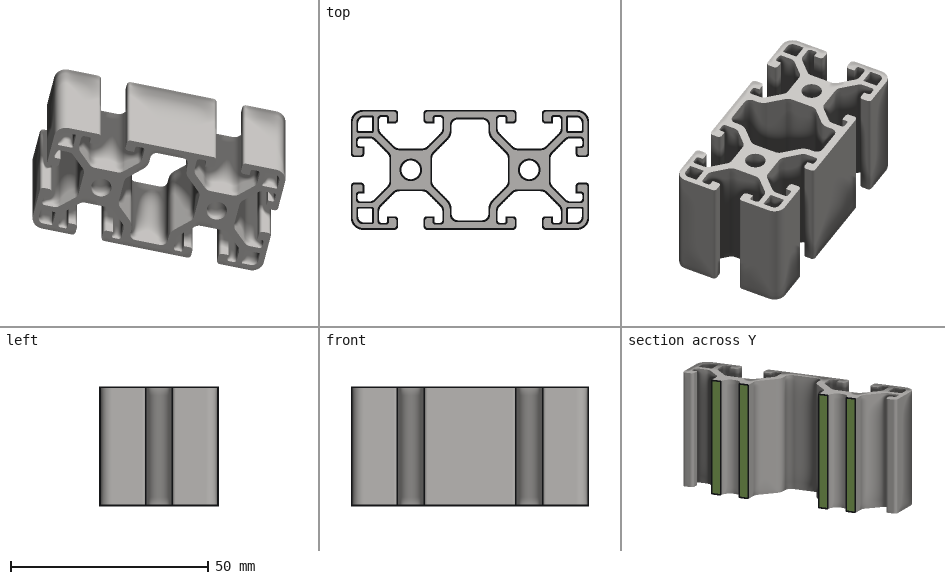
import cadquery as cq
import math

length = 60.0
depth = 30.0
height = 30.0
half_cell = depth / 2
cell_offset = length / 2 - half_cell
outer_radius = 3.0

core_half = 5.2
bore_diameter = 5.15

rib_offset = 1.45
rib_radius = 2.0

mouth_width = 6.8
mouth_half = mouth_width / 2
lip_width = 2.4
lip_height = 3.05
lip_radius = 0.85
slot_width = 16.4
slot_half = slot_width / 2
slot_wall = 1.4
hook_radius = 0.5
slot_corner_radius = 0.7
cut_overrun = 0.6

hollow_wall = 1.5
hollow_web = 1.45
hollow_corner_radius = 0.2
hollow_outer_radius = outer_radius - hollow_wall

middle_web = 2.0
middle_wall = 2.05
middle_radius = 1.6
middle_knee_radius = 3.5


def rounded_prism(corners):
    """Extrude a closed outline of (x, y, radius) corners; radius 0 stays sharp."""
    path = None
    for i, (x, y, radius) in enumerate(corners):
        before = corners[i - 1]
        after = corners[(i + 1) % len(corners)]
        corner = cq.Vector(x, y)
        to_before = (cq.Vector(before[0], before[1]) - corner).normalized()
        to_after = (cq.Vector(after[0], after[1]) - corner).normalized()
        half_angle = to_before.getAngle(to_after) / 2
        setback = radius / math.tan(half_angle)
        bisector = (to_before + to_after).normalized()
        start = corner + to_before * setback
        middle = corner + bisector * (radius / math.sin(half_angle) - radius)
        end = corner + to_after * setback
        path = path.lineTo(start.x, start.y) if path else cq.Workplane("XY").moveTo(start.x, start.y)
        if radius > 0:
            path = path.threePointArc((middle.x, middle.y), (end.x, end.y))
    return path.close().extrude(height)


def mirrored_corners(corners):
    """Close a right-hand half outline with its mirror image across the Y axis."""
    return corners + [(-x, y, radius) for x, y, radius in reversed(corners)]


def t_slot():
    """T-slot cutter opening toward +Y, with the cell centre at the origin."""
    flare = mouth_half + 2 * lip_radius
    lip_bottom = half_cell - lip_height
    hook = mouth_half + lip_width
    ceiling = half_cell - slot_wall
    return rounded_prism(mirrored_corners([
        (flare, half_cell + cut_overrun, 0),
        (flare, half_cell, 0),
        (mouth_half, half_cell, lip_radius),
        (mouth_half, lip_bottom, lip_radius),
        (hook, lip_bottom, 0),
        (hook, ceiling, hook_radius),
        (slot_half, ceiling, slot_corner_radius),
        (slot_half, slot_half + rib_offset, rib_radius),
        (core_half - rib_offset, core_half, rib_radius),
    ]))


def corner_hollow():
    """Hollow in the left front corner of the left cell, with the cell centre at the origin."""
    outer = -(half_cell - hollow_wall)
    inner = -(slot_half + hollow_web)
    return rounded_prism([
        (outer, outer, hollow_outer_radius),
        (inner, outer, hollow_corner_radius),
        (inner, inner, hollow_corner_radius),
        (outer, inner, hollow_corner_radius),
    ])


def middle_hollow():
    """Twelve-sided hollow between the two cores, with the part centre at the origin."""
    side = half_cell - slot_half - middle_web
    end = half_cell - middle_wall
    core_face = cell_offset - core_half
    upper = [
        (core_face, core_half - rib_offset, rib_radius),
        (side, cell_offset - side - rib_offset, middle_knee_radius),
        (side, end, middle_radius),
    ]
    right = [(x, -y, radius) for x, y, radius in reversed(upper)] + upper
    return rounded_prism(mirrored_corners(right))


def left_cell_cuts():
    """All cuts of the left cell: three T-slots, two corner hollows and the bore."""
    cuts = cq.Workplane("XY").circle(bore_diameter / 2).extrude(height)
    for angle in (0, 90, 180):
        cuts = cuts.add(t_slot().rotate((0, 0, 0), (0, 0, 1), angle))
    cuts = cuts.add(corner_hollow())
    cuts = cuts.add(corner_hollow().mirror("XZ"))
    return cuts.combine().translate((-cell_offset, 0, 0))


body = cq.Workplane("XY").rect(length, depth).extrude(height).edges("|Z").fillet(outer_radius)
left_cuts = left_cell_cuts()
result = body.cut(left_cuts).cut(left_cuts.mirror("YZ")).cut(middle_hollow())